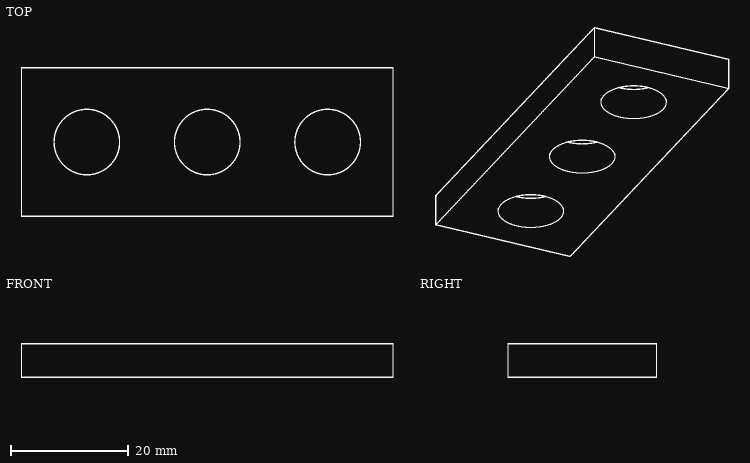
import cadquery as cq

length = 63.5
width = 25.4
thickness = 5.8

hole_diameter = 11.2
hole_pitch = 20.6
hole_count = 3

bar = cq.Workplane("XY").box(length, width, thickness)

result = (
    bar.faces(">Z")
    .workplane()
    .rarray(hole_pitch, width, hole_count, 1)
    .hole(hole_diameter)
)